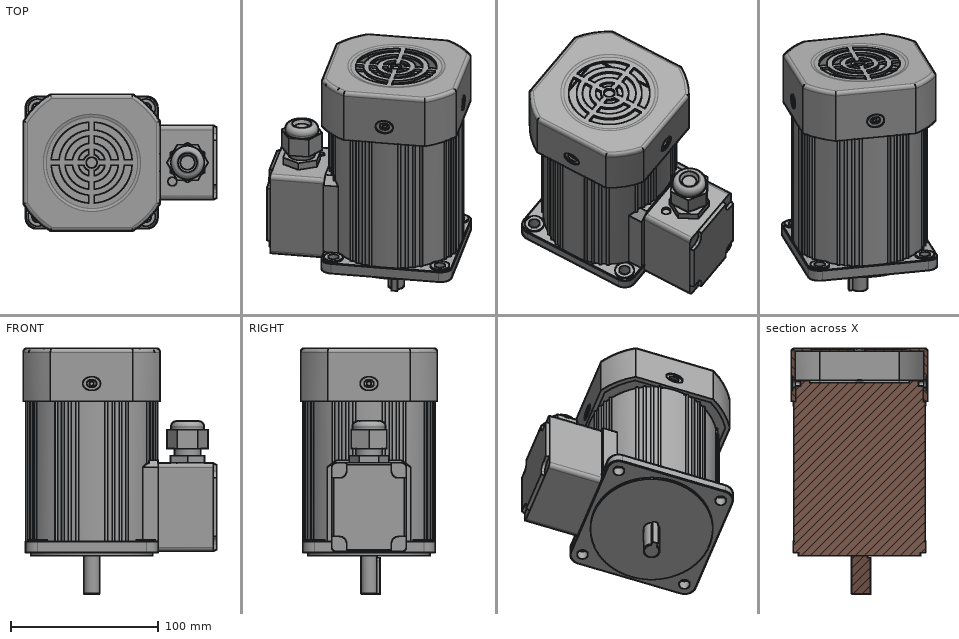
import cadquery as cq
import math


total_length = 167.0

flange_size = 90.2
flange_thickness = 8.0
flange_corner_radius = 8.0
flange_edge_chamfer = 0.5
hole_offset = 36.7
hole_radius = 3.7
pad_radius = 6.5
pad_height = 1.0
spigot_radius = 41.5
spigot_height = 2.0
barrel_radius = 45.0
cover_base = 103.0

rib_groups = 8
ribs_per_group = 4
rib_pitch = 6.5
rib_radius = 1.0

cover_size = 93.0
cover_corner_radius = 54.3
cover_wall = 3.0
cover_top_fillet = 2.7
head_height = 14.2
head_pocket_size = 67.5
head_pocket_depth = 1.5
dish_radius = 33.0
dish_floor_radius = 31.0
dish_depth = 0.5
grille_thickness = 1.7
grille_slots = ((5.7, 9.2), (13.2, 18.2), (22.2, 27.5))
grille_bar_width = 3.8
grille_hub_radius = 3.7

screw_height = 12.0
seat_half_width = 6.0
seat_half_height = 4.7
seat_depth = 1.0
window_half_width = 3.3
window_half_height = 2.5
screw_hole_radius = 1.5
screw_hole_depth = 3.3

saddle_width = 56.8
saddle_top = 63.1
saddle_bevel_width = 6.7
saddle_bevel_height = 4.8

box_width = 50.8
box_bottom = 1.0
box_top = 61.1
box_edge_radius = 3.0
box_end = 85.0
lid_thickness = 2.5
lid_taper = 1.3
lid_notch = 10.2
lid_notch_radius = 4.8
plug_hole_x = 54.8
plug_hole_y = -12.9
plug_hole_radius = 3.0
plug_hole_depth = 1.8

gland_x = 65.1
lock_hex_flats = 23.4
lock_hex_height = 5.0
neck_radius = 9.0
neck_height = 4.7
nut_flats = 24.2
nut_height = 13.0
dome_radius = 11.4
dome_height = 5.8
dome_fillet = 4.0
mouth_radius = 6.5
mouth_floor_radius = 4.8
mouth_depth = 2.5

shaft_radius = 5.5
shaft_end_chamfer = 0.5
shaft_projection = 27.9
key_width = 4.0
key_top = 7.5
key_start = 3.2

cover_top = total_length - shaft_projection
cover_height = cover_top - cover_base
cavity_size = cover_size - 2 * cover_wall
cavity_corner_radius = cover_corner_radius - cover_wall
cavity_height = cover_height - dish_depth - grille_thickness
screw_z = cover_base + screw_height
box_start = flange_size / 2
side_angles = (0, 90, 180, 270)
corner_signs = [(sx, sy) for sx in (-1, 1) for sy in (-1, 1)]
corners = [(sx * hole_offset, sy * hole_offset) for sx, sy in corner_signs]


def turned_square(size, corner_radius, base, height):
    """Square prism whose corners are turned off by a cylinder about the axis."""
    square = cq.Workplane("XY").workplane(offset=base).rect(size, size).extrude(height)
    turning = cq.Workplane("XY").workplane(offset=base).circle(corner_radius).extrude(height)
    return square.intersect(turning)


def disc(radius, base, height):
    """Cylinder about the motor axis."""
    return cq.Workplane("XY").workplane(offset=base).circle(radius).extrude(height)


def hexagon(flats, base, height):
    """Hexagonal prism about the gland axis, with two corners on the X direction."""
    across_corners = flats * 2 / math.sqrt(3)
    plane = cq.Workplane("XY").workplane(offset=base).center(gland_x, 0)
    return plane.polygon(6, across_corners).extrude(height)


def make_flange():
    plate = (
        cq.Workplane("XY").rect(flange_size, flange_size).extrude(flange_thickness)
        .edges("|Z").fillet(flange_corner_radius)
        .faces("<Z or >Z").edges().chamfer(flange_edge_chamfer)
    )
    pads = (
        cq.Workplane("XY").pushPoints(corners).circle(pad_radius)
        .extrude(flange_thickness + pad_height)
    )
    holes = (
        cq.Workplane("XY").pushPoints(corners).circle(hole_radius)
        .extrude(flange_thickness + pad_height)
    )
    spigot = disc(spigot_radius, -spigot_height, spigot_height)
    return plate.union(pads).cut(holes).union(spigot)


def make_barrel():
    """Round barrel with groups of ribs between eight plain bands."""
    length = cover_base - flange_thickness
    barrel = disc(barrel_radius, flange_thickness, length)
    group_angle = 360 / rib_groups
    for group in range(rib_groups):
        for index in range(ribs_per_group):
            shift = (index - (ribs_per_group - 1) / 2) * rib_pitch
            angle = math.radians((group + 0.5) * group_angle + shift)
            rib = disc(rib_radius, flange_thickness, length)
            centre = (barrel_radius * math.cos(angle), barrel_radius * math.sin(angle), 0)
            barrel = barrel.union(rib.translate(centre))
    return barrel


def make_saddle():
    """Flat-faced block on the +X side of the barrel, bevelled along its top."""
    half = saddle_width / 2
    shoulder = half - saddle_bevel_width
    bevel_start = saddle_top - saddle_bevel_height
    return (
        cq.Workplane("YZ")
        .polyline([
            (-half, flange_thickness),
            (half, flange_thickness),
            (half, bevel_start),
            (shoulder, saddle_top),
            (-shoulder, saddle_top),
            (-half, bevel_start),
        ])
        .close()
        .extrude(box_start)
    )


def make_housing():
    head = turned_square(cavity_size, cavity_corner_radius, cover_base, head_height)
    pocket = (
        cq.Workplane("XY").workplane(offset=cover_base + head_height - head_pocket_depth)
        .rect(head_pocket_size, head_pocket_size).extrude(head_pocket_depth)
    )
    head = head.cut(pocket)
    for angle in side_angles:
        screw_hole = (
            cq.Workplane("YZ").workplane(offset=cavity_size / 2 - screw_hole_depth)
            .center(0, screw_z).circle(screw_hole_radius).extrude(screw_hole_depth)
        )
        head = head.cut(screw_hole.rotate((0, 0, 0), (0, 0, 1), angle))
    return make_flange().union(make_barrel()).union(make_saddle()).union(head)


def make_grille_cutter():
    """Ring slots split by two crossing bars, plus the hub hole."""
    base = cover_base + cavity_height
    cutter = None
    for inner, outer in grille_slots:
        ring = disc(outer, base, grille_thickness).cut(disc(inner, base, grille_thickness))
        cutter = ring if cutter is None else cutter.union(ring)
    bars = (
        cq.Workplane("XY").workplane(offset=base)
        .rect(cover_size, grille_bar_width).extrude(grille_thickness)
    )
    bars = bars.union(bars.rotate((0, 0, 0), (0, 0, 1), 90))
    return cutter.cut(bars).union(disc(grille_hub_radius, base, grille_thickness))


def make_screw_seat():
    """Elliptic seat with a smaller elliptic window through the +X wall."""
    outer_face = cq.Workplane("YZ").workplane(offset=cover_size / 2).center(0, screw_z)
    seat = outer_face.ellipse(seat_half_width, seat_half_height).extrude(-seat_depth)
    window = outer_face.ellipse(window_half_width, window_half_height).extrude(-cover_wall)
    return seat.union(window)


def make_fan_cover():
    cover = turned_square(cover_size, cover_corner_radius, cover_base, cover_height)
    cover = cover.faces(">Z").edges().fillet(cover_top_fillet)
    cover = cover.cut(turned_square(cavity_size, cavity_corner_radius, cover_base, cavity_height))
    dish = cq.Workplane("XY").add(
        cq.Solid.makeCone(
            dish_floor_radius, dish_radius, dish_depth, pnt=cq.Vector(0, 0, cover_top - dish_depth)
        )
    )
    cover = cover.cut(dish).cut(make_grille_cutter())
    for angle in side_angles:
        cover = cover.cut(make_screw_seat().rotate((0, 0, 0), (0, 0, 1), angle))
    return cover


def make_lid_notch(side_y, side_z):
    """Corner notch in the lid, rounded at its inner corner."""
    height = box_top - box_bottom
    block = (
        cq.Workplane("YZ").workplane(offset=box_end - lid_thickness)
        .rect(2 * lid_notch, 2 * lid_notch).extrude(lid_thickness)
        .edges("|X").fillet(lid_notch_radius)
    )
    return block.translate((0, side_y * box_width / 2, box_bottom + (1 + side_z) * height / 2))


def make_terminal_box():
    box = (
        cq.Workplane("YZ").workplane(offset=box_start)
        .center(0, (box_bottom + box_top) / 2).rect(box_width, box_top - box_bottom)
        .extrude(box_end - box_start)
        .edges("|X").fillet(box_edge_radius)
        .faces(">X").chamfer(lid_thickness, lid_taper)
    )
    for side_y, side_z in corner_signs:
        box = box.cut(make_lid_notch(side_y, side_z))
    plug_hole = (
        cq.Workplane("XY").workplane(offset=box_top - plug_hole_depth)
        .center(plug_hole_x, plug_hole_y).circle(plug_hole_radius).extrude(plug_hole_depth)
    )
    return box.cut(plug_hole)


def make_gland():
    neck_base = box_top + lock_hex_height
    nut_base = neck_base + neck_height
    dome_base = nut_base + nut_height
    dome_top = dome_base + dome_height
    gland_axis = ((gland_x, 0, 0), (gland_x, 0, 1))

    lock_hex = hexagon(lock_hex_flats, box_top, lock_hex_height).rotate(*gland_axis, 30)
    neck = disc(neck_radius, neck_base, neck_height).translate((gland_x, 0, 0))
    nut = hexagon(nut_flats, nut_base, nut_height)
    dome = disc(dome_radius, dome_base, dome_height).faces(">Z").edges().fillet(dome_fillet)
    mouth = cq.Workplane("XY").add(
        cq.Solid.makeCone(
            mouth_floor_radius, mouth_radius, mouth_depth, pnt=cq.Vector(0, 0, dome_top - mouth_depth)
        )
    )
    dome = dome.cut(mouth).translate((gland_x, 0, 0))
    return lock_hex.union(neck).union(nut).union(dome)


def make_shaft():
    shaft = disc(shaft_radius, -shaft_projection, shaft_projection - spigot_height)
    shaft = shaft.faces("<Z").edges().chamfer(shaft_end_chamfer)
    half = key_width / 2
    key = (
        cq.Workplane("XZ")
        .moveTo(-half, -shaft_projection)
        .lineTo(half, -shaft_projection)
        .lineTo(half, -key_start - half)
        .threePointArc((0, -key_start), (-half, -key_start - half))
        .close()
        .extrude(-key_top)
    )
    return shaft.union(key)


housing = make_housing()
fan_cover = make_fan_cover()
terminal_box = make_terminal_box()
gland = make_gland()
shaft = make_shaft()

result = cq.Compound.makeCompound([
    housing.val(),
    fan_cover.val(),
    terminal_box.val(),
    gland.val(),
    shaft.val(),
])